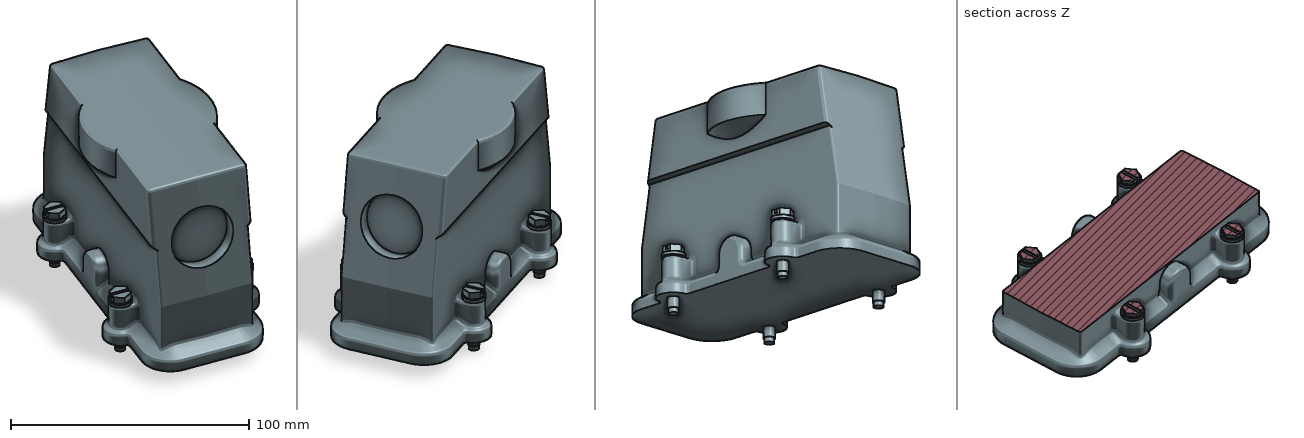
import cadquery as cq
import math

FLANGE_LENGTH = 133.0
FLANGE_WIDTH = 54.8
FLANGE_CORNER = 13.3
RIM_HEIGHT = 5.2
SLOPE_ANGLE = 30.0
SLOPE_INSET = 7.3
SLOPE_TOP = RIM_HEIGHT + SLOPE_INSET * math.tan(math.radians(SLOPE_ANGLE))
BLEND = 2.0

HOOD_HEIGHT = 85.1
HOOD_LENGTH = 119.7
WALL_Y = 21.3
HEAD_Y = 23.0
HEAD_BASE = 58.1
HEAD_STEP_HEIGHT = 1.3
KINK_HEIGHT = 30.0
END_ANGLE = 10.0
DRAFT_ANGLE = 1.0
WALL_EDGE_RADIUS = 0.9
HEAD_EDGE_RADIUS = 1.7

BULGE_RADIUS = 29.0
BULGE_BASE = 70.1

ENTRY_DIAMETER = 28.3
ENTRY_HEIGHT = 57.2
ENTRY_DEPTH = 6.6

ARCH_RADIUS = 7.0
ARCH_CENTRE_HEIGHT = 13.0

SCREW_X = 33.0
SCREW_Y = 27.9
PAD_RADIUS = 7.5
COLUMN_RADIUS = 4.9
COLUMN_HEIGHT = 17.8
COLUMN_EDGE_RADIUS = 1.7

WASHER_RADIUS = 5.0
WASHER_TOP = 19.3
HEX_ACROSS_FLATS = 8.1
HEX_TOP = 22.5
SLOT_WIDTH = 1.2
SLOT_DEPTH = 1.7
PIN_DIAMETER = 5.0
PIN_LENGTH = 4.8
TIP_DIAMETER = 4.4
SCREW_BOTTOM = -6.9

OVERLAP = 1.3

TOLERANCE = 0.03
MARGIN = 1.3


def near(value, target):
    return abs(value - target) < TOLERANCE


def pick_edges(part, test):
    """Selection of the edges whose bounding box passes the test."""
    return part.newObject([edge for edge in part.edges().vals() if test(edge.BoundingBox())])


def make_flange():
    """-Y half of the flange with its screw pads: a straight rim, then a slope up to the hood."""
    plate = cq.Workplane("XY").rect(FLANGE_LENGTH, FLANGE_WIDTH).extrude(RIM_HEIGHT)
    plate = plate.edges("|Z").fillet(FLANGE_CORNER)
    pad_centres = [(sx * SCREW_X, sy * SCREW_Y) for sx in (-1, 1) for sy in (-1, 1)]
    pads = cq.Workplane("XY").pushPoints(pad_centres).circle(PAD_RADIUS).extrude(RIM_HEIGHT)

    pad_reach = SCREW_X + PAD_RADIUS + BLEND
    pad_corners = cq.selectors.BoxSelector(
        (-pad_reach, -FLANGE_WIDTH, 0), (pad_reach, FLANGE_WIDTH, RIM_HEIGHT)
    )
    rim = plate.union(pads)
    rim = rim.edges("|Z").edges(pad_corners).fillet(BLEND)
    slope = (
        rim.faces(">Z")
        .wires()
        .toPending()
        .workplane()
        .extrude(SLOPE_TOP - RIM_HEIGHT, combine=False, taper=90 - SLOPE_ANGLE)
    )
    minus_y_side = cq.Workplane("XY").box(
        FLANGE_LENGTH, FLANGE_LENGTH, HOOD_HEIGHT, centered=(True, False, False)
    )
    return rim.union(slope).cut(minus_y_side)


def make_hood():
    """-Y half of the hood: drafted side outline, limited by the stepped walls and the bulge."""
    half_length = HOOD_LENGTH / 2
    end_lean = (HOOD_HEIGHT - KINK_HEIGHT) * math.tan(math.radians(END_ANGLE))
    top_half_length = half_length - end_lean
    outline = (
        cq.Workplane("XZ")
        .moveTo(-half_length, 0)
        .lineTo(-half_length, KINK_HEIGHT)
        .lineTo(-top_half_length, HOOD_HEIGHT)
        .lineTo(top_half_length, HOOD_HEIGHT)
        .lineTo(half_length, KINK_HEIGHT)
        .lineTo(half_length, 0)
        .close()
        .extrude(BULGE_RADIUS, taper=DRAFT_ANGLE)
    )
    walls = (
        cq.Workplane("YZ")
        .lineTo(-WALL_Y, 0)
        .lineTo(-WALL_Y, HEAD_BASE - HEAD_STEP_HEIGHT)
        .lineTo(-HEAD_Y, HEAD_BASE)
        .lineTo(-HEAD_Y, HOOD_HEIGHT)
        .lineTo(0, HOOD_HEIGHT)
        .close()
        .extrude(half_length, both=True)
    )
    cone_base = BULGE_BASE - (BULGE_RADIUS - HEAD_Y)
    bulge = (
        cq.Workplane("XZ")
        .moveTo(0, cone_base)
        .lineTo(HEAD_Y, cone_base)
        .lineTo(BULGE_RADIUS, BULGE_BASE)
        .lineTo(BULGE_RADIUS, HOOD_HEIGHT)
        .lineTo(0, HOOD_HEIGHT)
        .close()
        .revolve(360, (0, 0, 0), (0, 1, 0))
    )
    hood = walls.union(bulge).intersect(outline)

    def is_upright(box, wall_y):
        on_wall = near(box.ymin, -wall_y) and near(box.ymax, -wall_y)
        at_end = min(abs(box.xmin), abs(box.xmax)) > BULGE_RADIUS
        return on_wall and at_end and box.zlen > HEAD_STEP_HEIGHT

    def is_roof_edge(box):
        roof_drop = BULGE_RADIUS * math.tan(math.radians(DRAFT_ANGLE))
        return box.zmin > HOOD_HEIGHT - roof_drop - TOLERANCE and box.ymin < -TOLERANCE

    hood = pick_edges(hood, lambda box: is_upright(box, WALL_Y)).fillet(WALL_EDGE_RADIUS)
    head_edges = pick_edges(hood, lambda box: is_upright(box, HEAD_Y) or is_roof_edge(box))
    return head_edges.fillet(HEAD_EDGE_RADIUS)


def blend_foot(casting):
    """Fillet where the hood walls rise from the flange slope."""

    def is_foot(box):
        in_band = box.zmin > RIM_HEIGHT + MARGIN and box.zmax < SLOPE_TOP + TOLERANCE
        on_side = near(box.ymin, -WALL_Y) and near(box.ymax, -WALL_Y)
        on_end = min(abs(box.xmin), abs(box.xmax)) > HOOD_LENGTH / 2 - MARGIN
        return in_band and (on_side or on_end)

    return pick_edges(casting, is_foot).fillet(BLEND)


def add_arch(casting):
    """Arched boss flush with the flange side, blended into the slope at both feet."""
    inner_y = WALL_Y - OVERLAP
    depth = FLANGE_WIDTH / 2 - inner_y
    arch = (
        cq.Workplane("XZ", origin=(0, -inner_y, 0))
        .moveTo(-ARCH_RADIUS, 0)
        .lineTo(-ARCH_RADIUS, ARCH_CENTRE_HEIGHT)
        .threePointArc((0, ARCH_CENTRE_HEIGHT + ARCH_RADIUS), (ARCH_RADIUS, ARCH_CENTRE_HEIGHT))
        .lineTo(ARCH_RADIUS, 0)
        .close()
        .extrude(depth)
    )
    slope_rise = depth * math.tan(math.radians(SLOPE_ANGLE))
    footing = (
        cq.Workplane("YZ")
        .moveTo(-inner_y, 0)
        .lineTo(-FLANGE_WIDTH / 2, 0)
        .lineTo(-FLANGE_WIDTH / 2, RIM_HEIGHT)
        .lineTo(-inner_y, RIM_HEIGHT + slope_rise)
        .close()
        .extrude(ARCH_RADIUS + 2 * BLEND, both=True)
    )
    feet = cq.selectors.BoxSelector(
        (-ARCH_RADIUS - TOLERANCE, -FLANGE_WIDTH / 2 + TOLERANCE, RIM_HEIGHT),
        (ARCH_RADIUS + TOLERANCE, -inner_y - TOLERANCE, ARCH_CENTRE_HEIGHT - TOLERANCE),
    )
    return casting.union(footing.union(arch).edges(feet).fillet(BLEND))


def round_rim(casting):
    """Fillet along the top of the rim and up around the front of the arch."""

    def is_outer_edge(box):
        on_rim = near(box.zmin, RIM_HEIGHT) and near(box.zmax, RIM_HEIGHT)
        on_front = near(box.ymin, -FLANGE_WIDTH / 2) and near(box.ymax, -FLANGE_WIDTH / 2)
        return on_rim or (on_front and box.zmin > RIM_HEIGHT - TOLERANCE)

    return pick_edges(casting, is_outer_edge).fillet(BLEND)


def add_column(casting, x):
    """Screw column with a web back to the wall, rounded on top and blended all around."""
    inner_y = WALL_Y - OVERLAP
    web_length = SCREW_Y - inner_y
    column = cq.Workplane("XY", origin=(x, -SCREW_Y, 0)).circle(COLUMN_RADIUS).extrude(COLUMN_HEIGHT)
    web = (
        cq.Workplane("XY", origin=(x, -SCREW_Y + web_length / 2, 0))
        .rect(2 * COLUMN_RADIUS, web_length)
        .extrude(COLUMN_HEIGHT)
    )
    column = column.union(web)
    column = column.faces(">Z").edges("not >Y").fillet(COLUMN_EDGE_RADIUS)

    def is_column_joint(box):
        beside = abs(box.center.x - x) < COLUMN_RADIUS + TOLERANCE
        on_wall = near(box.ymin, -WALL_Y) and near(box.ymax, -WALL_Y) and box.zmin > SLOPE_TOP
        in_band = box.zmin > RIM_HEIGHT + MARGIN and box.zmax < SLOPE_TOP + BLEND
        on_slope = in_band and box.ymax < -WALL_Y + TOLERANCE
        return beside and (on_wall or on_slope)

    return pick_edges(casting.union(column), is_column_joint).fillet(BLEND)


def make_screw():
    """Washer, slotted hexagon head and stepped pin, on the Z axis."""

    def disc(diameter, bottom, top):
        return cq.Workplane("XY").workplane(offset=bottom).circle(diameter / 2).extrude(top - bottom)

    across_corners = HEX_ACROSS_FLATS / math.cos(math.pi / 6)
    head = (
        cq.Workplane("XY")
        .workplane(offset=WASHER_TOP)
        .polygon(6, across_corners)
        .extrude(HEX_TOP - WASHER_TOP)
    )
    slot = (
        cq.Workplane("XY")
        .workplane(offset=HEX_TOP - SLOT_DEPTH)
        .rect(SLOT_WIDTH, across_corners)
        .extrude(SLOT_DEPTH)
    )
    washer = disc(2 * WASHER_RADIUS, COLUMN_HEIGHT, WASHER_TOP)
    pin = disc(PIN_DIAMETER, -PIN_LENGTH, COLUMN_HEIGHT)
    tip = disc(TIP_DIAMETER, SCREW_BOTTOM, 0)
    return head.cut(slot).union(washer).union(pin).union(tip)


def make_entry():
    """Cutter for the cable entry, square to the slanted end."""
    lean = math.radians(END_ANGLE)
    entry_x = HOOD_LENGTH / 2 - (ENTRY_HEIGHT - KINK_HEIGHT) * math.tan(lean)
    end_plane = cq.Plane(
        (entry_x, 0, ENTRY_HEIGHT), xDir=(0, 1, 0), normal=(math.cos(lean), 0, math.sin(lean))
    )
    return cq.Workplane(end_plane).circle(ENTRY_DIAMETER / 2).extrude(ENTRY_DEPTH, both=True)


half_casting = blend_foot(make_flange().union(make_hood()))
half_casting = round_rim(add_arch(half_casting))
for x in (-SCREW_X, SCREW_X):
    half_casting = add_column(half_casting, x)

result = half_casting.union(half_casting.mirror("XZ")).cut(make_entry())
for x in (-SCREW_X, SCREW_X):
    for y in (-SCREW_Y, SCREW_Y):
        result = result.union(make_screw().translate((x, y, 0)))